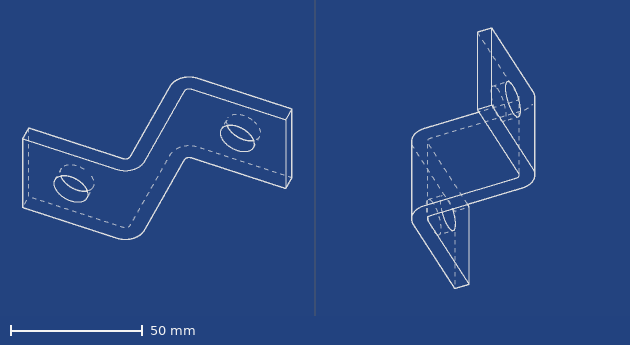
import cadquery as cq

length = 88.0
depth = 54.0
height = 40.0
thickness = 6.0
inner_bend_radius = 2.0
hole_diameter = 14.0
hole_edge_distance = 20.0

outer_bend_radius = inner_bend_radius + thickness
half_length = length / 2
half_depth = depth / 2
half_web = thickness / 2

half_outline = [
    (-half_length, -half_depth),
    (half_web, -half_depth),
    (half_web, half_depth - thickness),
    (half_length, half_depth - thickness),
]
outline = half_outline + [(-x, -y) for x, y in half_outline]
bracket = cq.Workplane("XY").polyline(outline).close().extrude(height / 2, both=True)


def round_bend(body, side, radius, corner_y):
    """Round the vertical edge at one face of the web (side is -1 or 1)."""
    corner = cq.selectors.NearestToPointSelector((side * half_web, corner_y, 0))
    return body.edges("|Z").edges(corner).fillet(radius)


for side in (-1, 1):
    bracket = round_bend(bracket, side, outer_bend_radius, -side * half_depth)
    bracket = round_bend(bracket, side, inner_bend_radius, side * (half_depth - thickness))

hole_x = half_length - hole_edge_distance
holes = (
    cq.Workplane("XZ")
    .pushPoints([(-hole_x, 0), (hole_x, 0)])
    .circle(hole_diameter / 2)
    .extrude(depth, both=True)
)

result = bracket.cut(holes)